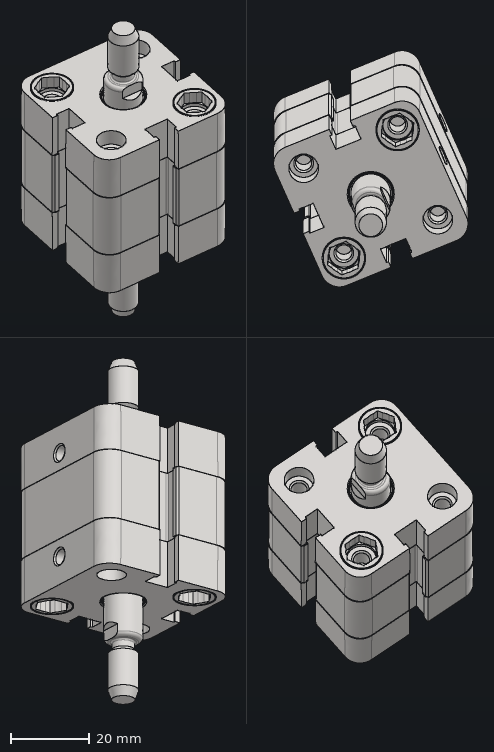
import cadquery as cq
import math

CAP_INNER_WIDTH = 40.3
BODY_LENGTH = 44.0
CAP_LENGTH = 12.6
CAP_OUTER_WIDTH = 40.1
CAP_CORNER_RADIUS = 4.9
BARREL_WIDTH = 40.1
BARREL_CORNER_RADIUS = 5.1
BARREL_LENGTH = BODY_LENGTH - 2 * CAP_LENGTH

SLOT_WIDTH = 7.0
SLOT_DEPTH = 5.7
CAP_SLOT_LIP = 1.8
BARREL_SLOT_LIP = 1.95
CAP_SLOT_OPENING = 5.9
BARREL_SLOT_OPENING = 5.2
BARREL_LIP_CHAMFER = 0.6
BARREL_FLOOR_RADIUS = 0.5
SLOT_ANGLES = (0, 90, 270)

CORNER_OFFSET = 13.0
MOUNT_DIAMETER = 7.5
MOUNT_DEPTH = 4.5
HEX_ACROSS_FLATS = 7.8
HEX_RELIEF_DIAMETER = 8.0
HEX_DEPTH = 3.4
HEAD_DIAMETER = 11.1
HEAD_CHAMFER = 0.3

THREAD_DIAMETER = 4.1
THREAD_CHAMFER = 0.5
THREAD_DEPTH = 5.6
PORT_FROM_END = 7.7

TOTAL_LENGTH = 93.0
ROD_SHIFT = -2.5
ROD_RADIUS = 10.0 / 2
THREAD_RADIUS = 8.0 / 2
NECK_RADIUS = 5.8 / 2
TIP_RADIUS = 6.0 / 2
TIP_CONE_LENGTH = 2.6
THREAD_END = 12.65
NECK_START = THREAD_END + THREAD_RADIUS - NECK_RADIUS
SHOULDER = 15.9
NECK_FILLET = 0.5
SHOULDER_FILLET = 1.1
FLAT_END = 19.1
FLAT_HALF_WIDTH = 8.0 / 2
ROD_LENGTH = TOTAL_LENGTH / 2

WIPER_DIAMETER = 11.4
WIPER_CHAMFER = 0.3
WIPER_LEDGE_DIAMETER = 10.9
WIPER_LEDGE_DEPTH = 0.6
WIPER_DEPTH = 1.1


def square_block(width, length, corner_radius, taper=0):
    """Square bar with rounded corners, standing on Z = 0 and narrowing upwards by the taper angle."""
    outline = cq.Sketch().rect(width, width).vertices().fillet(corner_radius)
    return cq.Workplane("XY").placeSketch(outline).extrude(length, taper=taper)


def t_slot(length, opening, lip, angle, floor_radius=0):
    """T-slot cutter opening on +X, turned about Z by the given angle."""
    side = CAP_INNER_WIDTH / 2
    wide_part = (
        cq.Workplane("XY")
        .center(side - (SLOT_DEPTH + lip) / 2, 0)
        .rect(SLOT_DEPTH - lip, SLOT_WIDTH)
        .extrude(length)
    )
    if floor_radius > 0:
        wide_part = wide_part.edges("|Z and <X").fillet(floor_radius)
    mouth = cq.Workplane("XY").center(side - lip / 2, 0).rect(lip, opening).extrude(length)
    return wide_part.union(mouth).rotate((0, 0, 0), (0, 0, 1), angle)


def threaded_hole(depth):
    """Cutter for a countersunk blind hole, going down from Z = 0."""
    hole_radius = THREAD_DIAMETER / 2
    return (
        cq.Workplane("XZ")
        .lineTo(hole_radius + THREAD_CHAMFER, 0)
        .lineTo(hole_radius, -THREAD_CHAMFER)
        .lineTo(hole_radius, -depth)
        .lineTo(0, -depth)
        .close()
        .revolve(360, (0, 0, 0), (0, 1, 0))
    )


def mount_hole():
    """Cutter for a round corner hole with a threaded hole in its floor."""
    bore = cq.Workplane("XY").circle(MOUNT_DIAMETER / 2).extrude(-MOUNT_DEPTH)
    return bore.union(threaded_hole(THREAD_DEPTH).translate((0, 0, -MOUNT_DEPTH)))


def screw_head():
    """Cutter for a flush screw head: chamfered rim and relieved hexagon socket over a mount hole."""
    hex_diameter = HEX_ACROSS_FLATS / math.cos(math.pi / 6)
    socket = cq.Workplane("XY").polygon(6, hex_diameter).extrude(-HEX_DEPTH)
    head_radius = HEAD_DIAMETER / 2
    rim = (
        cq.Workplane("XZ")
        .moveTo(head_radius, 0)
        .lineTo(head_radius, -HEAD_CHAMFER)
        .lineTo(head_radius - HEAD_CHAMFER, 0)
        .close()
        .revolve(360, (0, 0, 0), (0, 1, 0))
    )
    relief = cq.Workplane("XY").circle(HEX_RELIEF_DIAMETER / 2).extrude(-HEX_DEPTH)
    return mount_hole().union(socket).union(relief).union(rim)


def rod_opening():
    """Cutter for the rod hole through a cap, with a chamfered, stepped recess at Z = 0."""
    recess_radius = WIPER_DIAMETER / 2
    ledge_radius = WIPER_LEDGE_DIAMETER / 2
    return (
        cq.Workplane("XZ")
        .lineTo(recess_radius + WIPER_CHAMFER, 0)
        .lineTo(recess_radius, -WIPER_CHAMFER)
        .lineTo(recess_radius, -WIPER_LEDGE_DEPTH)
        .lineTo(ledge_radius, -WIPER_LEDGE_DEPTH)
        .lineTo(ledge_radius, -WIPER_DEPTH)
        .lineTo(ROD_RADIUS, -WIPER_DEPTH)
        .lineTo(ROD_RADIUS, -CAP_LENGTH)
        .lineTo(0, -CAP_LENGTH)
        .close()
        .revolve(360, (0, 0, 0), (0, 1, 0))
    )


def make_cap():
    """Upper end cap, in place on top of the barrel and tapering slightly towards its outer face."""
    taper = math.degrees(math.atan((CAP_INNER_WIDTH - CAP_OUTER_WIDTH) / 2 / CAP_LENGTH))
    cap = square_block(CAP_INNER_WIDTH, CAP_LENGTH, CAP_CORNER_RADIUS, taper)
    cap = cap.translate((0, 0, -CAP_LENGTH))
    for angle in SLOT_ANGLES:
        slot = t_slot(CAP_LENGTH, CAP_SLOT_OPENING, CAP_SLOT_LIP, angle)
        cap = cap.cut(slot.translate((0, 0, -CAP_LENGTH)))
    for x_side in (-1, 1):
        for y_side in (-1, 1):
            cutter = screw_head() if x_side == y_side else mount_hole()
            cap = cap.cut(cutter.translate((x_side * CORNER_OFFSET, y_side * CORNER_OFFSET, 0)))
    port = threaded_hole(THREAD_DEPTH).rotate((0, 0, 0), (0, 1, 0), -90)
    cap = cap.cut(port.translate((-CAP_INNER_WIDTH / 2, 0, -PORT_FROM_END)))
    return cap.cut(rod_opening()).translate((0, 0, BODY_LENGTH / 2))


def make_barrel():
    """Profiled barrel between the caps, with chamfered slot lips."""
    barrel = square_block(BARREL_WIDTH, BARREL_LENGTH, BARREL_CORNER_RADIUS)
    for angle in SLOT_ANGLES:
        slot = t_slot(BARREL_LENGTH, BARREL_SLOT_OPENING, BARREL_SLOT_LIP, angle, BARREL_FLOOR_RADIUS)
        barrel = barrel.cut(slot)
    half = BARREL_WIDTH / 2
    lip = BARREL_SLOT_OPENING / 2
    for side in (-1, 1):
        lip_points = ((half, side * lip), (side * lip, half), (side * lip, -half))
        for x, y in lip_points:
            edge = cq.selectors.NearestToPointSelector((x, y, BARREL_LENGTH / 2))
            barrel = barrel.edges("|Z").edges(edge).chamfer(BARREL_LIP_CHAMFER)
    barrel = barrel.cut(cq.Workplane("XY").circle(ROD_RADIUS).extrude(BARREL_LENGTH))
    return barrel.translate((0, 0, -BARREL_LENGTH / 2))


def make_rod():
    """Upper rod end: threaded nose, neck, rounded shoulder and two wrench flats."""
    round_corner = SHOULDER_FILLET * (1 - math.sqrt(0.5))
    neck_corner = NECK_FILLET * (1 - math.sqrt(0.5))
    rod = (
        cq.Workplane("XZ")
        .lineTo(TIP_RADIUS, 0)
        .lineTo(THREAD_RADIUS, -TIP_CONE_LENGTH)
        .lineTo(THREAD_RADIUS, -THREAD_END)
        .lineTo(NECK_RADIUS, -NECK_START)
        .lineTo(NECK_RADIUS, NECK_FILLET - SHOULDER)
        .threePointArc(
            (NECK_RADIUS + neck_corner, neck_corner - SHOULDER),
            (NECK_RADIUS + NECK_FILLET, -SHOULDER),
        )
        .lineTo(ROD_RADIUS - SHOULDER_FILLET, -SHOULDER)
        .threePointArc(
            (ROD_RADIUS - round_corner, -SHOULDER - round_corner),
            (ROD_RADIUS, -SHOULDER - SHOULDER_FILLET),
        )
        .lineTo(ROD_RADIUS, -ROD_LENGTH)
        .lineTo(0, -ROD_LENGTH)
        .close()
        .revolve(360, (0, 0, 0), (0, 1, 0))
    )
    flat_depth = ROD_RADIUS - FLAT_HALF_WIDTH
    flat = (
        cq.Workplane("XZ")
        .moveTo(FLAT_HALF_WIDTH, -SHOULDER)
        .lineTo(FLAT_HALF_WIDTH, -FLAT_END)
        .lineTo(ROD_RADIUS, -FLAT_END - flat_depth)
        .lineTo(ROD_RADIUS, -SHOULDER)
        .close()
        .extrude(ROD_RADIUS, both=True)
    )
    rod = rod.cut(flat).cut(flat.mirror("YZ"))
    return rod.translate((0, 0, ROD_LENGTH))


barrel = make_barrel()

caps = []
rods = []
for turn in (0, 180):
    caps.append(make_cap().rotate((0, 0, 0), (1, 0, 0), turn))
    rods.append(make_rod().rotate((0, 0, 0), (1, 0, 0), turn).translate((0, 0, ROD_SHIFT)))

bodies = [barrel, *caps, *rods]
result = cq.Compound.makeCompound([body.val() for body in bodies])